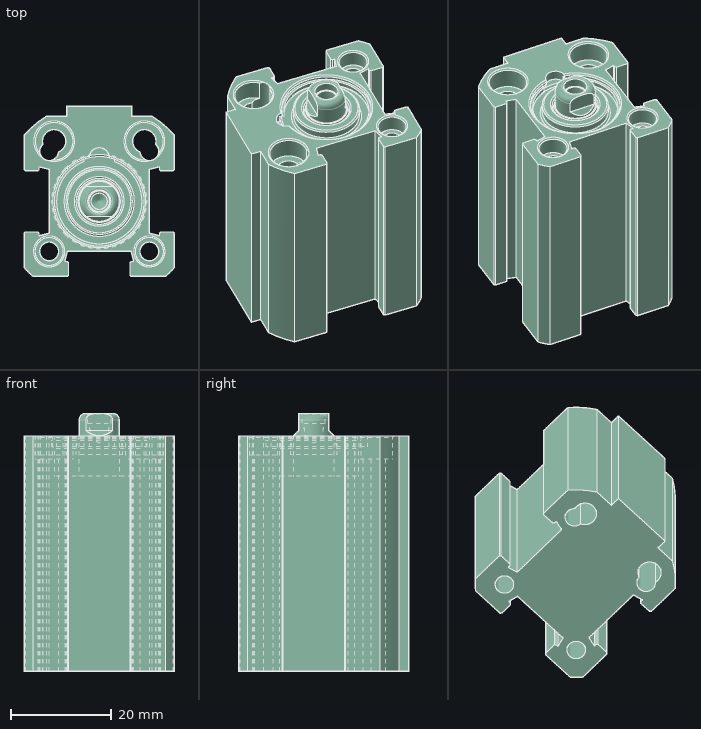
import cadquery as cq
import math


HOUSING_HEIGHT = 47.0
HALF_WIDTH = 15.0
FRONT_Y = -15.0
SHOULDER_Y = 17.0
TAB_Y = 19.0
TAB_HALF_WIDTH = 6.5
CORNER_RADIUS = 20.0

SLOT_HALF_WIDTH = 6.1
SLOT_NECK_DEPTH = 3.0
SLOT_DEPTH = 5.0
SLOT_UNDERCUT_HALF_WIDTH = 6.85
SLOT_FLOOR_HALF_WIDTH = 6.35
SLOT_EDGE_CHAMFER = 0.25

MOUNT_OFFSET = 10.0
MOUNT_HOLE_DIAMETER = 3.7
FRONT_BORE_DIAMETER = 5.6
REAR_BORE_DIAMETER = 7.5
REAR_BORE_X = 9.0
REAR_BORE_Y = 12.0
REAR_HOLE_DIAMETER = 4.6
FRONT_BORE_DEPTH = 3.8
REAR_BORE_DEPTH = 4.6
BORE_CHAMFER = 0.3

RECESS_DIAMETER = 17.9
RECESS_MOUTH_DIAMETER = 18.5
RECESS_DEPTH = 8.0
GROOVE_DIAMETER = 19.0
GROOVE_BOTTOM = 44.9
NOTCH_RADIUS = 2.0
NOTCH_Y = 8.7

COLLAR_TOP = 46.75
FLANGE_TOP = 44.5
COLLAR_BOSS_DIAMETER = 13.2
COLLAR_BASE_DIAMETER = 14.0
COLLAR_CHAMFER = 0.3
SEAT_DIAMETER = 9.2
SEAT_CHAMFER = 0.35
SEAT_DEPTH = 3.5

SEAL_TOP = 46.5
SEAL_LIP_DIAMETER = 8.42
SEAL_LIP_HEIGHT = 1.8

RING_INNER_DIAMETER = 17.0
RING_TOP = 46.05
RING_GAP = 6.0

ROD_DIAMETER = 8.0
ROD_TOP = 51.5
ROD_FILLET = 1.3
FLAT_HALF_WIDTH = 3.0
FLAT_BOTTOM = 48.05
SOCKET_RIM_DIAMETER = 5.4
SOCKET_DIAMETER = 4.6
SOCKET_RIM_DEPTH = 0.1
SOCKET_DEPTH = 2.0
TAPER_MOUTH_DIAMETER = 4.13
TAPER_FLOOR_DIAMETER = 3.24
TAPER_LENGTH = 3.0
DRILL_POINT_ANGLE = 118.0

RECESS_FLOOR = HOUSING_HEIGHT - RECESS_DEPTH


def cylinder(diameter, bottom, top, x=0.0, y=0.0):
    base = cq.Workplane("XY", origin=(x, y, bottom))
    return base.circle(diameter / 2).extrude(top - bottom)


def cone(bottom_diameter, top_diameter, bottom, top, x=0.0, y=0.0):
    solid = cq.Solid.makeCone(
        bottom_diameter / 2, top_diameter / 2, top - bottom, cq.Vector(x, y, bottom)
    )
    return cq.Workplane(obj=solid)


def chamfered_bore(diameter, chamfer, bottom, top, x=0.0, y=0.0):
    """Cutter for a round bore with a conical mouth at its top."""
    mouth = cone(diameter, diameter + 2 * chamfer, top - chamfer, top, x, y)
    return cylinder(diameter, bottom, top, x, y).union(mouth)


def t_slot():
    """Cutter for a T-slot that opens toward +X, with its mouth in the plane X = 0."""
    neck_points = [
        (0, SLOT_HALF_WIDTH + SLOT_EDGE_CHAMFER),
        (-SLOT_EDGE_CHAMFER, SLOT_HALF_WIDTH),
        (SLOT_EDGE_CHAMFER - SLOT_NECK_DEPTH, SLOT_HALF_WIDTH),
        (-SLOT_NECK_DEPTH, SLOT_HALF_WIDTH + SLOT_EDGE_CHAMFER),
        (-SLOT_NECK_DEPTH, SLOT_UNDERCUT_HALF_WIDTH),
        (-SLOT_DEPTH, SLOT_FLOOR_HALF_WIDTH),
    ]
    mirrored = [(x, -y) for x, y in reversed(neck_points)]
    return cq.Workplane("XY").polyline(neck_points + mirrored).close().extrude(HOUSING_HEIGHT)


def make_profile():
    """Housing cross-section extruded to full height, with its tab and T-slots."""
    tab_height = TAB_Y - SHOULDER_Y
    depth = SHOULDER_Y - FRONT_Y
    block = (
        cq.Workplane("XY")
        .center(0, FRONT_Y + depth / 2)
        .rect(2 * HALF_WIDTH, depth)
        .extrude(HOUSING_HEIGHT)
    )
    tab = (
        cq.Workplane("XY")
        .center(0, SHOULDER_Y)
        .rect(2 * TAB_HALF_WIDTH, 2 * tab_height)
        .extrude(HOUSING_HEIGHT)
    )
    rounding = cylinder(2 * CORNER_RADIUS, 0, HOUSING_HEIGHT)
    profile = block.intersect(rounding).union(tab)
    for angle, reach in ((0, HALF_WIDTH), (180, HALF_WIDTH), (270, -FRONT_Y)):
        slot = t_slot().translate((reach, 0, 0)).rotate((0, 0, 0), (0, 0, 1), angle)
        profile = profile.cut(slot)
    return profile


def cut_mounting_holes(body):
    front_floor = HOUSING_HEIGHT - FRONT_BORE_DEPTH
    rear_floor = HOUSING_HEIGHT - REAR_BORE_DEPTH
    for side in (-1, 1):
        mount_x = side * MOUNT_OFFSET
        rear_x = side * REAR_BORE_X
        front_bore = chamfered_bore(
            FRONT_BORE_DIAMETER, BORE_CHAMFER, front_floor, HOUSING_HEIGHT, mount_x, -MOUNT_OFFSET
        )
        rear_bore = chamfered_bore(
            REAR_BORE_DIAMETER, BORE_CHAMFER, rear_floor, HOUSING_HEIGHT, rear_x, REAR_BORE_Y
        )
        rear_hole = cylinder(REAR_HOLE_DIAMETER, 0, HOUSING_HEIGHT, rear_x, REAR_BORE_Y)
        body = body.cut(front_bore).cut(rear_bore).cut(rear_hole)
        for mount_y in (-MOUNT_OFFSET, MOUNT_OFFSET):
            body = body.cut(cylinder(MOUNT_HOLE_DIAMETER, 0, HOUSING_HEIGHT, mount_x, mount_y))
    return body


def cut_collar_recess(body):
    mouth_chamfer = (RECESS_MOUTH_DIAMETER - RECESS_DIAMETER) / 2
    lip_chamfer = GROOVE_BOTTOM - FLANGE_TOP
    recess = chamfered_bore(RECESS_DIAMETER, mouth_chamfer, RECESS_FLOOR, HOUSING_HEIGHT)
    lip = chamfered_bore(RECESS_DIAMETER, lip_chamfer, FLANGE_TOP, GROOVE_BOTTOM)
    groove = cylinder(GROOVE_DIAMETER, GROOVE_BOTTOM, RING_TOP)
    notch = cylinder(2 * NOTCH_RADIUS, GROOVE_BOTTOM, HOUSING_HEIGHT, 0, NOTCH_Y)
    return body.cut(recess).cut(lip).cut(groove).cut(notch)


def make_housing():
    return cut_collar_recess(cut_mounting_holes(make_profile()))


def make_collar():
    root_height = (COLLAR_BASE_DIAMETER - COLLAR_BOSS_DIAMETER) / 2
    flange = cylinder(RECESS_DIAMETER, RECESS_FLOOR, FLANGE_TOP)
    boss = cylinder(COLLAR_BOSS_DIAMETER, FLANGE_TOP, COLLAR_TOP).faces(">Z").chamfer(COLLAR_CHAMFER)
    root = cone(COLLAR_BASE_DIAMETER, COLLAR_BOSS_DIAMETER, FLANGE_TOP, FLANGE_TOP + root_height)
    seat = chamfered_bore(SEAT_DIAMETER, SEAT_CHAMFER, COLLAR_TOP - SEAT_DEPTH, COLLAR_TOP)
    rod_bore = cylinder(ROD_DIAMETER, RECESS_FLOOR, COLLAR_TOP)
    return flange.union(boss).union(root).cut(seat).cut(rod_bore)


def make_seal():
    seat_floor = COLLAR_TOP - SEAT_DEPTH
    lip_base = SEAL_TOP - SEAL_LIP_HEIGHT
    ring = cylinder(SEAT_DIAMETER, seat_floor, lip_base)
    lip = cone(SEAT_DIAMETER, SEAL_LIP_DIAMETER, lip_base, SEAL_TOP)
    return ring.union(lip).cut(cylinder(ROD_DIAMETER, seat_floor, SEAL_TOP))


def make_retaining_ring():
    ring = cylinder(GROOVE_DIAMETER, GROOVE_BOTTOM, RING_TOP)
    ring = ring.cut(cylinder(RING_INNER_DIAMETER, GROOVE_BOTTOM, RING_TOP))
    gap = (
        cq.Workplane("XY", origin=(0, GROOVE_DIAMETER / 2, GROOVE_BOTTOM))
        .rect(RING_GAP, GROOVE_DIAMETER / 2)
        .extrude(RING_TOP - GROOVE_BOTTOM)
    )
    return ring.cut(gap)


def flat_cutter():
    """Cutter for the +Y wrench flat, which runs out to the rod surface at 45 degrees."""
    outer = ROD_DIAMETER
    run_out = outer - FLAT_HALF_WIDTH
    return (
        cq.Workplane("YZ")
        .polyline(
            [
                (FLAT_HALF_WIDTH, ROD_TOP),
                (FLAT_HALF_WIDTH, FLAT_BOTTOM),
                (outer, FLAT_BOTTOM - run_out),
                (outer, ROD_TOP),
            ]
        )
        .close()
        .extrude(ROD_DIAMETER, both=True)
    )


def make_rod():
    rod = cylinder(ROD_DIAMETER, RECESS_FLOOR, ROD_TOP).faces(">Z").edges().fillet(ROD_FILLET)
    flat = flat_cutter()
    rod = rod.cut(flat).cut(flat.mirror("XZ"))
    rim_bottom = ROD_TOP - SOCKET_RIM_DEPTH
    socket_floor = ROD_TOP - SOCKET_DEPTH
    taper_floor = socket_floor - TAPER_LENGTH
    point_height = TAPER_FLOOR_DIAMETER / 2 / math.tan(math.radians(DRILL_POINT_ANGLE / 2))
    rod = rod.cut(cone(SOCKET_DIAMETER, SOCKET_RIM_DIAMETER, rim_bottom, ROD_TOP))
    rod = rod.cut(cylinder(SOCKET_DIAMETER, socket_floor, rim_bottom))
    rod = rod.cut(cone(TAPER_FLOOR_DIAMETER, TAPER_MOUTH_DIAMETER, taper_floor, socket_floor))
    return rod.cut(cone(0, TAPER_FLOOR_DIAMETER, taper_floor - point_height, taper_floor))


housing = make_housing()
collar = make_collar()
seal = make_seal()
retaining_ring = make_retaining_ring()
rod = make_rod()

result = cq.Compound.makeCompound(
    [housing.val(), collar.val(), seal.val(), retaining_ring.val(), rod.val()]
)